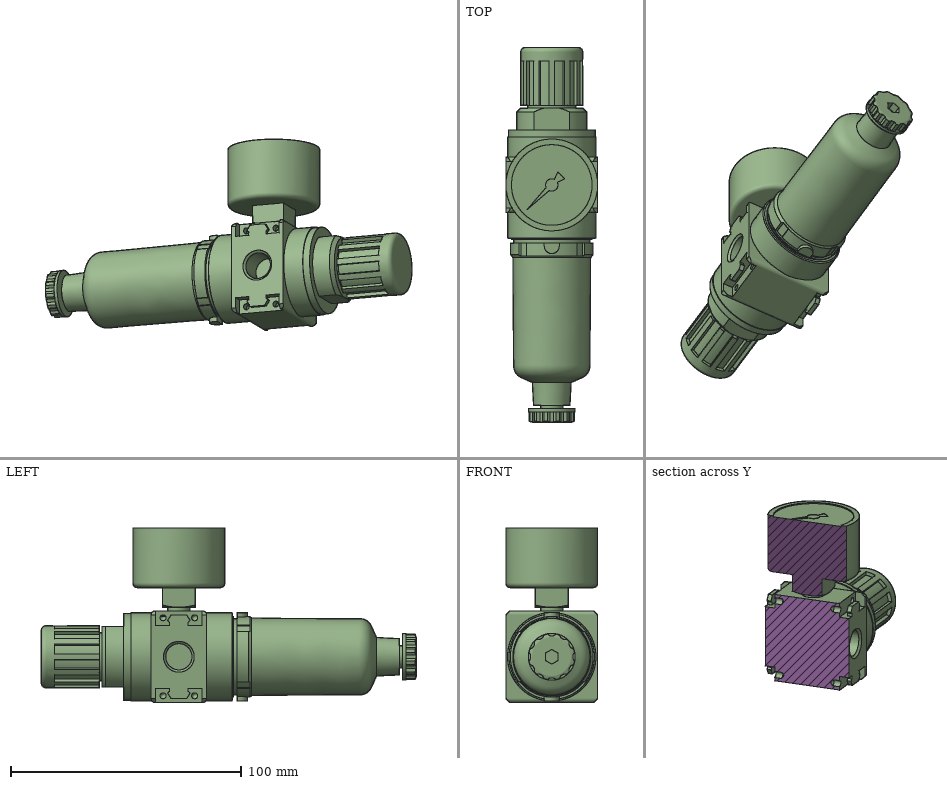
import cadquery as cq
import math


total_length = 163.0
total_height = 76.0

block_side = 40.0
block_length = 24.1
block_edge = 1.8
port_diameter = 11.4
port_mouth_diameter = 13.4
port_depth = 13.0
plug_hole_diameter = 4.0
plug_hole_depth = 1.0
plug_bore_diameter = 2.6
plug_bore_depth = 2.5
plug_hole_x = -10.6
plug_hole_y = 7.0

recess_depth = 4.5
recess_half_width = 10.1
recess_floor_z = 13.7
tongue_thickness = 2.0
tongue_root_half_width = 4.0
tongue_wide_half_width = 4.9
tongue_tip_half_width = 3.5
tongue_root_z = 15.0
tongue_wide_z = 15.8
tongue_tip_z = block_side / 2 - block_edge
screw_hole_diameter = 2.6
screw_point_depth = 1.0
screw_hole_depth = 3.3
screw_hole_y = 6.8
screw_hole_z = 17.0

barrel_radius = 38.5 / 2
collar_radius = 18.9
spigot_radius = 35.0 / 2
barrel_front_y = -23.3
barrel_bevel_width = 0.7
barrel_bevel_length = 0.3
housing_front_y = -23.8
collar_start_y = 20.9
bonnet_start_y = 24.0
bonnet_end_y = 33.4
bonnet_radius = 30.5 / 2
bonnet_flat_height = 26.4
bonnet_chamfer = 1.6

knob_neck_radius = 21.0 / 2
knob_start_y = 34.5
knob_end_y = 59.8
knob_radius = 27.0 / 2
knob_edge_radius = 2.1
knob_slot_count = 12
knob_slot_angle = 19.0
knob_slot_end_y = 54.0
knob_slot_depth = 1.6

bowl_neck_radius = 33.3 / 2
ring_start_y = -25.3
ring_end_y = -30.8
ring_taper_end_y = -31.6
ring_radius = 36.0 / 2
ring_chamfer = 0.5
ring_relief_radius = 17.3
ring_pad_radius = 35.0 / 2
ring_cheek_half_height = 11.0
ring_pad_half_width = 11.0
button_radius = 3.3
button_front_y = -29.8
button_top_z = 19.2
bowl_start_radius = 17.0
bowl_end_radius = 16.6
shoulder_y = -78.5
shoulder_radius = 5.7
shoulder_angle = math.radians(67)
stem_start_y = -85.9
stem_start_radius = 8.5
stem_end_y = -95.8
stem_end_radius = 16.0 / 2
stem_rim = 0.7

drain_neck_radius = 9.8 / 2
drain_flange_radius = 20.4 / 2
drain_grip_radius = 20.0 / 2
drain_face_radius = 8.5
drain_start_y = -97.1
drain_flange_end_y = -98.6
drain_end_y = knob_end_y - total_length
drain_face_bevel = 0.5
notch_count = 12
notch_floor_radius = 9.1
notch_floor_width = 1.5
notch_mouth_width = 4.2
drain_socket_width = 5.5
drain_socket_depth = 4.0

gauge_top_z = total_height - block_side / 2
gauge_bottom_z = 30.0
gauge_radius = 40.0 / 2
gauge_edge_radius = 2.0
dial_diameter = 35.0
dial_depth = 0.5
shank_side = 14.3
shank_bottom_z = 21.5
shank_bevel = 1.0
gauge_neck_diameter = 9.8
pointer_thickness = 0.2
pointer_hub_diameter = 5.4
pointer_length = 15.2
pointer_root_width = 2.3
pointer_tail_length = 5.9
pointer_tail_width = 4.2
pointer_waist_width = 1.6
pointer_waist_distance = 2.3
pointer_angle = 225


def turned(profile):
    """Revolve a closed (radius, y) outline about the main axis."""
    return profile.close().revolve(360, (0, 0, 0), (0, 1, 0))


def along_axis(start_y):
    """Sketch plane across the main axis; extrusions run toward +Y, local x is -X."""
    return cq.Workplane(cq.Plane((0, start_y, 0), (-1, 0, 0), (0, 1, 0)))


def polar(radius, angle):
    return (radius * math.cos(angle), radius * math.sin(angle))


def make_port_block():
    """Square block with chamfered X edges and rounded Y edges at top and bottom."""
    block = cq.Workplane().box(block_side, block_length, block_side)
    block = block.edges("|Y").chamfer(block_edge)
    return block.faces(">Z or <Z").edges("|X").fillet(block_edge)


def make_joint_recess():
    """Recess at the top of the -X face, around and behind a thin dovetail tongue."""
    side_plane = cq.Workplane("YZ", origin=(-block_side / 2, 0, 0))
    opening_height = block_side / 2 - recess_floor_z
    opening = (
        side_plane.center(0, recess_floor_z + opening_height / 2)
        .rect(2 * recess_half_width, opening_height)
        .extrude(recess_depth)
    )
    tongue = (
        side_plane.moveTo(-tongue_root_half_width, recess_floor_z)
        .lineTo(-tongue_root_half_width, tongue_root_z)
        .lineTo(-tongue_wide_half_width, tongue_wide_z)
        .lineTo(-tongue_tip_half_width, tongue_tip_z)
        .lineTo(tongue_tip_half_width, tongue_tip_z)
        .lineTo(tongue_wide_half_width, tongue_wide_z)
        .lineTo(tongue_root_half_width, tongue_root_z)
        .lineTo(tongue_root_half_width, recess_floor_z)
        .close()
        .extrude(tongue_thickness)
    )
    floor_x = recess_depth - block_side / 2
    screw_hole = (
        cq.Workplane("XY")
        .moveTo(floor_x, 0)
        .lineTo(floor_x, screw_hole_diameter / 2)
        .lineTo(floor_x + screw_hole_depth, screw_hole_diameter / 2)
        .lineTo(floor_x + screw_hole_depth + screw_point_depth, 0)
        .close()
        .revolve(360, (0, 0, 0), (1, 0, 0))
        .translate((0, screw_hole_y, screw_hole_z))
    )
    screw_holes = screw_hole.union(screw_hole.mirror("XZ"))
    return opening.cut(tongue).union(screw_holes)


def make_port():
    """Blind port in the -X face with a countersunk mouth."""
    mouth_depth = (port_mouth_diameter - port_diameter) / 2
    bore_radius = port_diameter / 2
    return (
        cq.Workplane("XY")
        .moveTo(-block_side / 2, 0)
        .lineTo(-block_side / 2, port_mouth_diameter / 2)
        .lineTo(-block_side / 2 + mouth_depth, bore_radius)
        .lineTo(-block_side / 2 + port_depth, bore_radius)
        .lineTo(-block_side / 2 + port_depth, 0)
        .close()
        .revolve(360, (0, 0, 0), (1, 0, 0))
    )


def make_plug_hole():
    """Shallow counterbore with a smaller bore in the top face of the block."""
    top_plane = cq.Workplane("XY", origin=(plug_hole_x, plug_hole_y, block_side / 2))
    counterbore = top_plane.circle(plug_hole_diameter / 2).extrude(-plug_hole_depth)
    bore = top_plane.circle(plug_bore_diameter / 2).extrude(-plug_bore_depth)
    return counterbore.union(bore)


def make_bonnet():
    """Round bonnet with two wrench flats at +-Z."""
    bonnet = along_axis(bonnet_start_y).circle(bonnet_radius).extrude(bonnet_end_y - bonnet_start_y)
    bonnet = bonnet.faces(">Y").chamfer(bonnet_chamfer)
    flats = cq.Workplane().box(4 * bonnet_radius, 4 * bonnet_end_y, bonnet_flat_height)
    return bonnet.intersect(flats)


def make_knob():
    """Adjusting knob with grip slots open toward the bonnet, and its neck."""
    knob = along_axis(knob_start_y).circle(knob_radius).extrude(knob_end_y - knob_start_y)
    knob = knob.faces(">Y").edges().fillet(knob_edge_radius)
    floor_radius = knob_radius - knob_slot_depth
    cutter_radius = knob_radius + knob_slot_depth
    half_angle = math.radians(knob_slot_angle / 2)
    slot = (
        along_axis(knob_start_y)
        .moveTo(*polar(floor_radius, -half_angle))
        .lineTo(*polar(cutter_radius, -half_angle))
        .lineTo(*polar(cutter_radius, half_angle))
        .lineTo(*polar(floor_radius, half_angle))
        .threePointArc((floor_radius, 0), polar(floor_radius, -half_angle))
        .close()
        .extrude(knob_slot_end_y - knob_start_y)
    )
    pitch = 360 / knob_slot_count
    for index in range(knob_slot_count):
        knob = knob.cut(slot.rotate((0, 0, 0), (0, 1, 0), (index + 0.5) * pitch))
    neck_length = knob_start_y - bonnet_end_y
    neck = along_axis(bonnet_end_y).circle(knob_neck_radius).extrude(neck_length)
    return knob.union(neck)


def make_housing():
    """Housing: port block, barrel and bonnet, with the adjusting knob on top."""
    barrel = turned(
        cq.Workplane("XY")
        .moveTo(0, housing_front_y)
        .lineTo(spigot_radius, housing_front_y)
        .lineTo(spigot_radius, barrel_front_y)
        .lineTo(barrel_radius - barrel_bevel_width, barrel_front_y)
        .lineTo(barrel_radius, barrel_front_y + barrel_bevel_length)
        .lineTo(barrel_radius, collar_start_y)
        .lineTo(collar_radius, collar_start_y)
        .lineTo(collar_radius, bonnet_start_y)
        .lineTo(0, bonnet_start_y)
    )
    housing = make_port_block().union(barrel)
    recess = make_joint_recess()
    port = make_port()
    recesses = recess.union(recess.mirror("XY"))
    for cutter in (recesses, port):
        housing = housing.cut(cutter).cut(cutter.mirror("YZ"))
    return housing.cut(make_plug_hole()).union(make_bonnet()).union(make_knob())


def make_bayonet_ring():
    """Ring with cheeks at +-X, and lower pads at +-Z that carry the release buttons."""
    length = ring_start_y - ring_end_y
    middle_y = (ring_start_y + ring_end_y) / 2
    ring_plane = along_axis(ring_end_y)
    ring = ring_plane.circle(ring_relief_radius).extrude(length)
    cheek_band = cq.Workplane().box(3 * ring_radius, length, 2 * ring_cheek_half_height)
    pad_band = cq.Workplane().box(2 * ring_pad_half_width, length, 3 * ring_radius)
    cheeks = ring_plane.circle(ring_radius).extrude(length).intersect(cheek_band.translate((0, middle_y, 0)))
    pads = ring_plane.circle(ring_pad_radius).extrude(length).intersect(pad_band.translate((0, middle_y, 0)))
    envelope = ring_plane.circle(ring_radius).extrude(length).faces("<Y").chamfer(ring_chamfer)
    ring = ring.union(pads).union(cheeks.intersect(envelope))
    button_centre_y = button_front_y + button_radius
    buttons = (
        cq.Workplane("XY")
        .moveTo(-button_radius, ring_start_y)
        .lineTo(-button_radius, button_centre_y)
        .threePointArc((0, button_front_y), (button_radius, button_centre_y))
        .lineTo(button_radius, ring_start_y)
        .close()
        .extrude(button_top_z, both=True)
    )
    return ring.union(buttons)


def make_drain_knob():
    """Notched grip on a round flange, with a hexagon socket in its end face."""
    grip = turned(
        cq.Workplane("XY")
        .moveTo(0, drain_flange_end_y)
        .lineTo(drain_grip_radius, drain_flange_end_y)
        .lineTo(drain_grip_radius, drain_end_y + drain_face_bevel)
        .lineTo(drain_face_radius, drain_end_y)
        .lineTo(0, drain_end_y)
    )
    notch = (
        along_axis(drain_end_y)
        .moveTo(notch_floor_radius, -notch_floor_width / 2)
        .lineTo(drain_grip_radius, -notch_mouth_width / 2)
        .lineTo(drain_grip_radius, notch_mouth_width / 2)
        .lineTo(notch_floor_radius, notch_floor_width / 2)
        .close()
        .extrude(drain_flange_end_y - drain_end_y)
    )
    for index in range(notch_count):
        grip = grip.cut(notch.rotate((0, 0, 0), (0, 1, 0), index * 360 / notch_count))
    flange_length = drain_start_y - drain_flange_end_y
    flange = along_axis(drain_flange_end_y).circle(drain_flange_radius).extrude(flange_length)
    socket_corner_diameter = drain_socket_width / math.cos(math.radians(30))
    socket = (
        along_axis(drain_end_y)
        .transformed(rotate=(0, 0, 30))
        .polygon(6, socket_corner_diameter)
        .extrude(drain_socket_depth)
    )
    return grip.union(flange).cut(socket)


def make_bowl():
    """Bowl with its bayonet ring, tapered stem and drain knob."""
    shoulder_centre_radius = bowl_end_radius - shoulder_radius

    def shoulder_point(angle):
        radial, drop = polar(shoulder_radius, angle)
        return (shoulder_centre_radius + radial, shoulder_y - drop)

    shell = turned(
        cq.Workplane("XY")
        .moveTo(0, housing_front_y)
        .lineTo(bowl_neck_radius, housing_front_y)
        .lineTo(bowl_neck_radius, ring_end_y)
        .lineTo(ring_pad_radius, ring_end_y)
        .lineTo(bowl_start_radius, ring_taper_end_y)
        .lineTo(bowl_end_radius, shoulder_y)
        .threePointArc(shoulder_point(shoulder_angle / 2), shoulder_point(shoulder_angle))
        .lineTo(stem_start_radius, stem_start_y)
        .lineTo(stem_end_radius, stem_end_y + stem_rim)
        .lineTo(stem_end_radius, stem_end_y)
        .lineTo(drain_neck_radius, stem_end_y)
        .lineTo(drain_neck_radius, drain_start_y)
        .lineTo(0, drain_start_y)
    )
    return shell.union(make_bayonet_ring()).union(make_drain_knob())


def make_pointer():
    """Raised pointer on the dial: round hub, tapered needle and flared tail."""
    dial_plane = cq.Workplane("XY", origin=(0, 0, gauge_top_z - dial_depth))
    hub = dial_plane.circle(pointer_hub_diameter / 2).extrude(pointer_thickness)
    needle = (
        dial_plane.moveTo(0, -pointer_root_width / 2)
        .lineTo(pointer_length, 0)
        .lineTo(0, pointer_root_width / 2)
        .close()
        .extrude(pointer_thickness)
    )
    tail = (
        dial_plane.moveTo(0, -pointer_waist_width / 2)
        .lineTo(-pointer_waist_distance, -pointer_waist_width / 2)
        .lineTo(-pointer_tail_length, -pointer_tail_width / 2)
        .lineTo(-pointer_tail_length, pointer_tail_width / 2)
        .lineTo(-pointer_waist_distance, pointer_waist_width / 2)
        .lineTo(0, pointer_waist_width / 2)
        .close()
        .extrude(pointer_thickness)
    )
    return hub.union(needle).union(tail).rotate((0, 0, 0), (0, 0, 1), pointer_angle)


def make_gauge():
    """Round gauge on a square shank and a thin neck that rests on the block."""
    case = (
        cq.Workplane("XY", origin=(0, 0, gauge_bottom_z))
        .circle(gauge_radius)
        .extrude(gauge_top_z - gauge_bottom_z)
        .faces("<Z").edges().fillet(gauge_edge_radius)
    )
    dial_recess = (
        cq.Workplane("XY", origin=(0, 0, gauge_top_z)).circle(dial_diameter / 2).extrude(-dial_depth)
    )
    shank_height = gauge_bottom_z - shank_bottom_z
    shank_plane = cq.Workplane("XY", origin=(0, 0, shank_bottom_z))
    shank = shank_plane.rect(shank_side, shank_side).extrude(shank_height)
    shank_corner_radius = shank_side / math.sqrt(2)
    bevel_width = shank_corner_radius - shank_side / 2
    bevel_envelope = (
        shank_plane.circle(shank_corner_radius)
        .extrude(shank_height)
        .faces("<Z").edges().chamfer(shank_bevel, bevel_width)
    )
    neck = (
        cq.Workplane("XY", origin=(0, 0, block_side / 2))
        .circle(gauge_neck_diameter / 2)
        .extrude(shank_bottom_z - block_side / 2)
    )
    gauge = case.cut(dial_recess).union(shank.intersect(bevel_envelope)).union(neck)
    return gauge.union(make_pointer())


housing = make_housing()
bowl = make_bowl()
gauge = make_gauge()

result = cq.Compound.makeCompound([housing.val(), bowl.val(), gauge.val()])